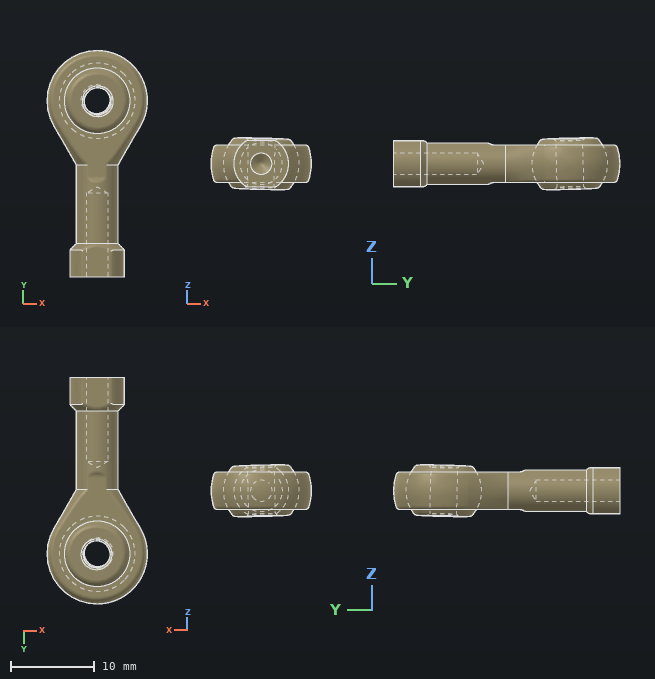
import cadquery as cq
import math


EDGE_ROUND = 0.49

HEAD_RADIUS = 6.0
HEAD_THICKNESS = 4.5
TAPER_HALF_ANGLE = 30.0
SHAFT_DIAMETER = 5.0
HOUSING_LENGTH = 27.0
HEAD_FLAT_END_Y = -9.02
RUNOUT_RADIUS = 1.0

COLLAR_DIAMETER = 6.5
COLLAR_LENGTH = 4.0
COLLAR_FLAT_WIDTH = 5.5

HOLE_DIAMETER = 2.55
HOLE_DEPTH = 10.0
DRILL_TIP_ANGLE = 118.0

BALL_RADIUS = 4.5
BALL_WIDTH = 6.0
BORE_DIAMETER = 3.19
BORE_CHAMFER = 0.25
BALL_TILT = 2.0

SHAFT_RADIUS = SHAFT_DIAMETER / 2
COLLAR_RADIUS = COLLAR_DIAMETER / 2
SHAFT_END_Y = HEAD_RADIUS - HOUSING_LENGTH
HEAD_HALF_THICKNESS = HEAD_THICKNESS / 2
COLLAR_HALF_WIDTH = COLLAR_FLAT_WIDTH / 2
COLLAR_TOP_Y = SHAFT_END_Y + COLLAR_LENGTH
COLLAR_CHAMFER = COLLAR_RADIUS - SHAFT_RADIUS
CLEARANCE = 1.35
SELECT_MARGIN = 0.03


def revolved_blank():
    """Spherical head, tangent cone, shaft and collar, all round about the Y axis."""
    taper = math.radians(TAPER_HALF_ANGLE)
    cone_radius = HEAD_RADIUS * math.cos(taper)
    cone_start_y = -HEAD_RADIUS * math.sin(taper)
    cone_end_y = cone_start_y - (cone_radius - SHAFT_RADIUS) / math.tan(taper)
    return (
        cq.Workplane("XY")
        .moveTo(0, HEAD_RADIUS)
        .threePointArc((HEAD_RADIUS, 0), (cone_radius, cone_start_y))
        .lineTo(SHAFT_RADIUS, cone_end_y)
        .lineTo(SHAFT_RADIUS, COLLAR_TOP_Y)
        .lineTo(COLLAR_RADIUS, COLLAR_TOP_Y - COLLAR_CHAMFER)
        .lineTo(COLLAR_RADIUS, SHAFT_END_Y)
        .lineTo(0, SHAFT_END_Y)
        .close()
        .revolve(360, (0, 0, 0), (0, 1, 0))
    )


def head_flat_cutter():
    """Material above the upper head flat, ending on the shaft in a concave run-out."""
    runout_top_z = HEAD_HALF_THICKNESS + RUNOUT_RADIUS
    top_z = HEAD_RADIUS + CLEARANCE
    front_y = HEAD_RADIUS + CLEARANCE
    return (
        cq.Workplane("YZ")
        .moveTo(front_y, HEAD_HALF_THICKNESS)
        .lineTo(HEAD_FLAT_END_Y, HEAD_HALF_THICKNESS)
        .radiusArc((HEAD_FLAT_END_Y - RUNOUT_RADIUS, runout_top_z), RUNOUT_RADIUS)
        .lineTo(HEAD_FLAT_END_Y - RUNOUT_RADIUS, top_z)
        .lineTo(front_y, top_z)
        .close()
        .extrude(HEAD_RADIUS + CLEARANCE, both=True)
    )


def collar_flat_cutter():
    """Material above the upper wrench flat."""
    return cq.Workplane("XY").box(
        2 * (COLLAR_RADIUS + CLEARANCE),
        2 * COLLAR_LENGTH,
        CLEARANCE,
        centered=(True, True, False),
    ).translate((0, SHAFT_END_Y, COLLAR_HALF_WIDTH))


def round_flat_edges(body):
    """Round the outlines of the head flats and wrench flats, apart from the shaft end."""
    reach = HEAD_RADIUS + CLEARANCE
    for side in (1, -1):
        z_inner = side * (HEAD_HALF_THICKNESS - SELECT_MARGIN)
        z_outer = side * (SHAFT_RADIUS + SELECT_MARGIN)
        head_zone = cq.selectors.BoxSelector(
            (-reach, HEAD_FLAT_END_Y - RUNOUT_RADIUS, z_inner), (reach, reach, z_outer)
        )
        body = body.edges(head_zone).edges("not |X").fillet(EDGE_ROUND)
        wrench_zone = cq.selectors.BoxSelector(
            (-reach, SHAFT_END_Y + SELECT_MARGIN, side * (COLLAR_HALF_WIDTH - SELECT_MARGIN)),
            (reach, COLLAR_TOP_Y, side * (COLLAR_HALF_WIDTH + SELECT_MARGIN)),
        )
        body = body.edges(wrench_zone).fillet(EDGE_ROUND)
    return body


def shaft_hole():
    """Blind drilled hole with a conical bottom, on the Y axis."""
    radius = HOLE_DIAMETER / 2
    bottom_y = SHAFT_END_Y + HOLE_DEPTH
    tip_y = bottom_y + radius / math.tan(math.radians(DRILL_TIP_ANGLE / 2))
    return (
        cq.Workplane("XY")
        .polyline([(0, SHAFT_END_Y), (radius, SHAFT_END_Y), (radius, bottom_y), (0, tip_y)])
        .close()
        .revolve(360, (0, 0, 0), (0, 1, 0))
    )


def make_housing():
    body = revolved_blank()
    for cutter in (head_flat_cutter(), collar_flat_cutter()):
        body = body.cut(cutter).cut(cutter.mirror("XY"))
    body = round_flat_edges(body)
    socket = cq.Workplane("XY").sphere(BALL_RADIUS)
    return body.cut(socket).cut(shaft_hole())


def make_ball():
    """Sphere with two rounded end faces and a chamfered bore, tilted about its centre."""
    slab_side = 2 * (BALL_RADIUS + CLEARANCE)
    width_slab = cq.Workplane("XY").box(slab_side, slab_side, BALL_WIDTH)
    body = cq.Workplane("XY").sphere(BALL_RADIUS).intersect(width_slab)
    body = body.faces("|Z").edges().fillet(EDGE_ROUND)
    body = body.faces(">Z").workplane().hole(BORE_DIAMETER)
    bore_edges = cq.selectors.RadiusNthSelector(0)
    for end_face in (">Z", "<Z"):
        body = body.faces(end_face).edges(bore_edges).chamfer(BORE_CHAMFER)
    return body.rotate((0, 0, 0), (1, 1, 0), BALL_TILT)


housing = make_housing()
ball = make_ball()

result = cq.Compound.makeCompound([housing.solids().val(), ball.solids().val()])